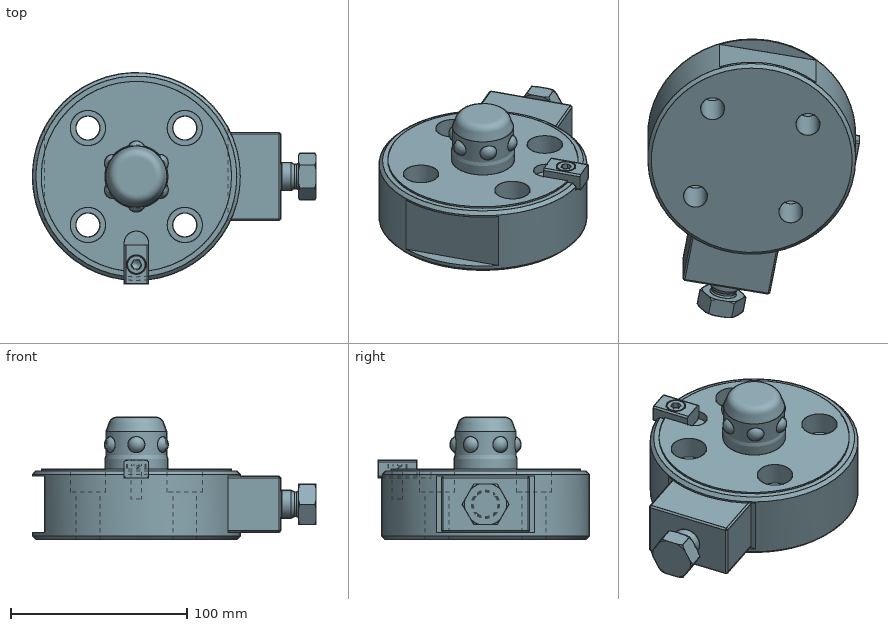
import cadquery as cq
import math

disc_radius = 59.0
disc_height = 39.0
disc_chamfer = 2.0
raised_face_radius = 54.0
raised_face_height = 1.0
top_z = disc_height + raised_face_height

lip_height = 4.0
pocket_bottom_z = lip_height
pocket_height = 32.0
pocket_x = 52.0

hole_spacing = 55.0
hole_diameter = 13.5
counterbore_diameter = 20.0
counterbore_depth = 13.0

pin_top_z = 69.5
pin_radius = 17.3
pin_base_radius = 17.9
pin_base_top_z = 45.7
pin_neck_z = 47.7
pin_shoulder_z = 61.3
pin_taper_angle = 20.0
pin_nose_fillet = 5.0
ball_count = 6
ball_radius = 5.0
ball_tip_radius = 20.2
ball_z = 53.9

key_width = 14.0
key_length = 22.0
key_height = 10.0
key_chamfer = 1.0
key_outer_y = -61.0
key_bottom_z = 35.0
key_top_z = key_bottom_z + key_height
slot_end_y = -31.0

screw_y = key_outer_y + key_length / 2
screw_diameter = 6.0
screw_length = 16.0
screw_head_diameter = 10.0
screw_head_height = 6.0
screw_pocket_diameter = 11.0
socket_flats = 5.0
socket_depth = 3.0
socket_tip_angle = 30.0

box_length = 30.0
box_width = 50.0
box_chamfer = 1.0
box_end_x = pocket_x + box_length

gland_z = pocket_bottom_z + pocket_height / 2
gland_radius = 8.0
gland_chamfer = 0.7
gland_collar_length = 5.9
gland_taper_length = 1.8
gland_neck_radius = 7.0
gland_neck_length = 1.2
gland_flare = 0.6
gland_nut_x = 92.0
gland_nut_length = 10.0
gland_nut_flats = 23.0
gland_nut_tip_radius = 12.0
gland_nut_chamfer_angle = 30.0


def vertical_cylinder(diameter, bottom_z, top, x=0.0, y=0.0):
    """Cylinder standing along Z between two heights."""
    return cq.Workplane("XY", origin=(x, y, bottom_z)).circle(diameter / 2).extrude(top - bottom_z)


def hexagon_corners(flats):
    """Corner-to-corner size of a hexagon, from its size across flats."""
    return flats / math.cos(math.radians(30))


def make_disc():
    disc = vertical_cylinder(2 * disc_radius, 0, disc_height).edges().chamfer(disc_chamfer)
    return disc.union(vertical_cylinder(2 * raised_face_radius, disc_height, top_z))


def make_pin():
    """Turned locking pin with a tapered, rounded nose and a ring of locking balls."""
    taper = math.tan(math.radians(pin_taper_angle))
    nose_radius = pin_radius - (pin_top_z - pin_shoulder_z) * taper
    pin = (
        cq.Workplane("XZ")
        .moveTo(0, disc_height)
        .lineTo(pin_base_radius, disc_height)
        .lineTo(pin_base_radius, pin_base_top_z)
        .lineTo(pin_radius, pin_neck_z)
        .lineTo(pin_radius, pin_shoulder_z)
        .lineTo(nose_radius, pin_top_z)
        .lineTo(0, pin_top_z)
        .close()
        .revolve(360, (0, 0, 0), (0, 1, 0))
        .faces(">Z")
        .edges()
        .fillet(pin_nose_fillet)
    )
    balls = (
        cq.Workplane("XY", origin=(0, 0, ball_z))
        .polarArray(ball_tip_radius - ball_radius, 90, 360, ball_count)
        .sphere(ball_radius)
    )
    return pin.union(balls)


def make_side_pockets():
    """Cutters that leave a flat at each end of the X axis, between two lips."""
    depth = disc_radius - pocket_x
    return (
        cq.Workplane("XY", origin=(0, 0, pocket_bottom_z))
        .pushPoints([(side * (pocket_x + depth / 2), 0) for side in (-1, 1)])
        .rect(depth, 2 * disc_radius)
        .extrude(pocket_height)
    )


def make_key_slot():
    """Cutter for the round-ended slot that opens at the disc edge."""
    slot_radius = key_width / 2
    return (
        cq.Workplane("XY", origin=(0, 0, key_bottom_z))
        .moveTo(-slot_radius, key_outer_y)
        .lineTo(-slot_radius, slot_end_y - slot_radius)
        .threePointArc((0, slot_end_y), (slot_radius, slot_end_y - slot_radius))
        .lineTo(slot_radius, key_outer_y)
        .close()
        .extrude(top_z - key_bottom_z)
    )


def make_housing():
    housing = make_disc().union(make_pin()).cut(make_side_pockets())
    housing = (
        housing.copyWorkplane(cq.Workplane("XY", origin=(0, 0, top_z)))
        .rect(hole_spacing, hole_spacing, forConstruction=True)
        .vertices()
        .cboreHole(hole_diameter, counterbore_diameter, counterbore_depth)
    )
    return housing.cut(make_key_slot()).cut(make_screw_body(screw_head_diameter))


def make_screw_body(head_diameter):
    """Head and shank without the socket; a wider head makes the cutter for the key."""
    head_bottom_z = key_top_z - screw_head_height
    head = vertical_cylinder(head_diameter, head_bottom_z, key_top_z, y=screw_y)
    shank = vertical_cylinder(screw_diameter, head_bottom_z - screw_length, head_bottom_z, y=screw_y)
    return head.union(shank)


def make_socket():
    """Cutter for the hexagon socket, which ends in a shallow cone."""
    corner_radius = hexagon_corners(socket_flats) / 2
    tip_depth = socket_depth + corner_radius * math.tan(math.radians(socket_tip_angle))
    hexagon = (
        cq.Workplane("XY", origin=(0, screw_y, key_top_z - tip_depth))
        .polygon(6, 2 * corner_radius)
        .extrude(tip_depth)
    )
    pointed_drill = (
        cq.Workplane("XZ", origin=(0, screw_y, key_top_z))
        .lineTo(corner_radius, 0)
        .lineTo(corner_radius, -socket_depth)
        .lineTo(0, -tip_depth)
        .close()
        .revolve(360, (0, 0, 0), (0, 1, 0))
    )
    return hexagon.intersect(pointed_drill)


def make_screw():
    return make_screw_body(screw_head_diameter).cut(make_socket())


def make_key():
    key = (
        cq.Workplane("XY", origin=(0, key_outer_y + key_length / 2, key_bottom_z))
        .rect(key_width, key_length)
        .extrude(key_height)
        .edges("|Y")
        .chamfer(key_chamfer)
    )
    return key.cut(make_screw_body(screw_pocket_diameter))


def make_gland_neck():
    """Turned collar between the box and the nut, lying along X."""
    collar_end_x = box_end_x + gland_collar_length
    neck_x = collar_end_x + gland_taper_length
    flare_x = neck_x + gland_neck_length
    return (
        cq.Workplane("XZ", origin=(0, 0, gland_z))
        .moveTo(box_end_x, 0)
        .lineTo(box_end_x, gland_radius - gland_chamfer)
        .lineTo(box_end_x + gland_chamfer, gland_radius)
        .lineTo(collar_end_x, gland_radius)
        .lineTo(neck_x, gland_neck_radius)
        .lineTo(flare_x, gland_neck_radius)
        .lineTo(gland_nut_x, gland_neck_radius + gland_flare)
        .lineTo(gland_nut_x, 0)
        .close()
        .revolve(360, (0, 0, 0), (1, 0, 0))
    )


def make_gland_nut():
    """Hexagon nut along X, its corners turned down at both ends."""
    nut_end_x = gland_nut_x + gland_nut_length
    corner_radius = hexagon_corners(gland_nut_flats) / 2
    slope = math.tan(math.radians(gland_nut_chamfer_angle))
    chamfer_length = (corner_radius - gland_nut_tip_radius) * slope
    hexagon = (
        cq.Workplane("YZ", origin=(gland_nut_x, 0, gland_z))
        .polygon(6, hexagon_corners(gland_nut_flats))
        .extrude(gland_nut_length)
    )
    envelope = (
        cq.Workplane("XZ", origin=(0, 0, gland_z))
        .moveTo(gland_nut_x, 0)
        .lineTo(gland_nut_x, gland_nut_tip_radius)
        .lineTo(gland_nut_x + chamfer_length, corner_radius)
        .lineTo(nut_end_x - chamfer_length, corner_radius)
        .lineTo(nut_end_x, gland_nut_tip_radius)
        .lineTo(nut_end_x, 0)
        .close()
        .revolve(360, (0, 0, 0), (1, 0, 0))
    )
    return hexagon.intersect(envelope)


def make_connector():
    """Connector box seated on the +X flat, with its cable gland."""
    box = (
        cq.Workplane("YZ", origin=(pocket_x, 0, gland_z))
        .rect(box_width, pocket_height)
        .extrude(box_length)
        .edges("|X or >X")
        .chamfer(box_chamfer)
    )
    return box.union(make_gland_neck()).union(make_gland_nut())


housing = make_housing()
connector = make_connector()
key = make_key()
screw = make_screw()

result = cq.Compound.makeCompound([housing.val(), connector.val(), key.val(), screw.val()])